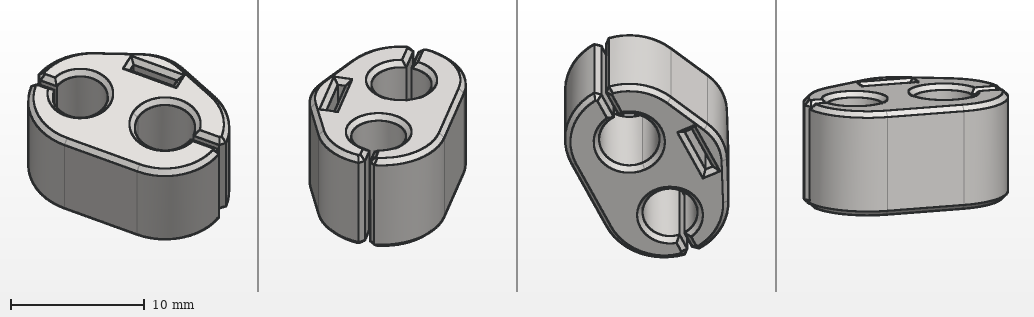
import cadquery as cq
import math

length = 15.53
height = 8.0
edge_chamfer = 0.4
mouth_width = 0.4

side_radius = 4.8
widest_y = mouth_width / 2 + edge_chamfer
side_x = length / 2 - math.sqrt(side_radius**2 - widest_y**2)
crown_radius = 4.12
crown_top = 6.2
crown_y = crown_top - crown_radius

left_hole_x = -4.0
left_hole_radius = 2.05
right_hole_x = side_x
right_hole_radius = 2.25

slot_length = 3.6
slot_width = 0.6
slot_y = 4.3


def make_body():
    """Extrude the hull outline, centred on the XY plane."""
    center_distance = math.hypot(side_x, crown_y)
    normal_angle = math.atan2(crown_y, side_x) - math.asin((side_radius - crown_radius) / center_distance)
    normal_x = math.sin(normal_angle)
    normal_y = math.cos(normal_angle)
    side_tangent = (side_x + side_radius * normal_x, side_radius * normal_y)
    crown_tangent = (crown_radius * normal_x, crown_y + crown_radius * normal_y)
    return (
        cq.Workplane("XY")
        .workplane(offset=-height / 2)
        .moveTo(-side_x, -side_radius)
        .lineTo(side_x, -side_radius)
        .threePointArc((side_x + side_radius, 0), side_tangent)
        .lineTo(*crown_tangent)
        .threePointArc((0, crown_top), (-crown_tangent[0], crown_tangent[1]))
        .lineTo(-side_tangent[0], side_tangent[1])
        .threePointArc((-side_x - side_radius, 0), (-side_x, -side_radius))
        .close()
        .extrude(height)
    )


def cut_cable_hole(body, hole_x, radius, side):
    """Cut one hole and its mouth; side is -1 for a mouth toward -X, +1 toward +X."""
    mouth_length = 2 * side_radius
    hole = cq.Workplane("XY").circle(radius).extrude(height, both=True)
    hole = hole.rotate((0, 0, 0), (0, 0, 1), 180).translate((hole_x, 0, 0))
    mouth = cq.Workplane("XY").box(mouth_length, mouth_width, 2 * height)
    mouth = mouth.translate((hole_x + side * mouth_length / 2, 0, 0))
    return body.cut(hole).cut(mouth)


def chamfer_mouth_corners(body):
    """Bevel the four upright edges where the mouths meet the outside."""
    corner_x = side_x + math.sqrt(side_radius**2 - (mouth_width / 2) ** 2)
    for side in (-1, 1):
        selector = cq.selectors.BoxSelector(
            (side * corner_x - edge_chamfer, -mouth_width, -height / 4),
            (side * corner_x + edge_chamfer, mouth_width, height / 4),
        )
        body = body.edges(selector).edges("|Z").chamfer(edge_chamfer)
    return body


result = make_body()
result = cut_cable_hole(result, left_hole_x, left_hole_radius, -1)
result = cut_cable_hole(result, right_hole_x, right_hole_radius, 1)
slot = cq.Workplane("XY").box(slot_length, slot_width, height).translate((0, slot_y, 0))
result = result.cut(slot)
result = chamfer_mouth_corners(result)

result = result.faces("<Z or >Z").edges().chamfer(edge_chamfer)